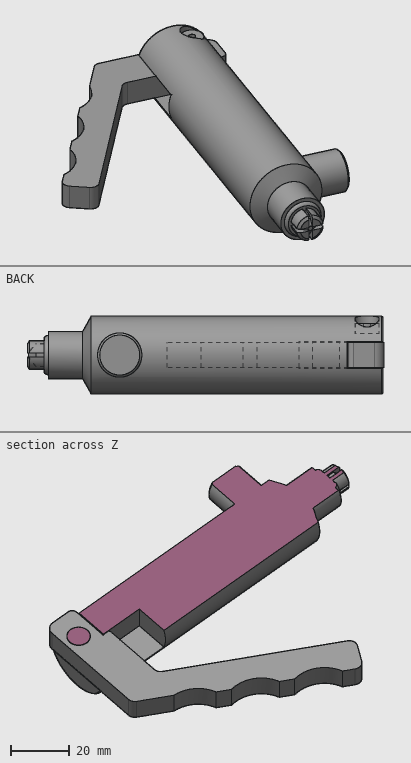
import cadquery as cq
import math

overall_length = 123.0

body_diameter = 26.9
body_radius = body_diameter / 2
body_start = 0.4
rim_chamfer = 0.5
shoulder_start = 101.0
shoulder_end = 103.9

neck_diameter = 16.4
neck_end = 115.7
collar_diameter = 13.6
collar_end = 117.2
collar_rounding_depth = 0.9

tip_diameter = 10.0
tip_chamfer_length = 0.7
tip_chamfer_depth = 1.1
groove_count = 4
groove_width = 1.4
groove_floor_radius = 3.9
groove_taper_start = 120.0
groove_floor_end = 122.6
groove_taper_angle = 50.0

port_diameter = 15.2
port_center_x = 91.1
port_end_y = 25.0
port_chamfer = 0.7

lever_thickness = 8.7
lever_slot_width = 9.2
slot_length = 29.4
slot_rear_length = 12.8
lever_head_width = 12.5
lever_head_top = 15.6
head_outer_fillet = 3.3
head_inner_fillet = 2.0
lever_shank_width = 15.5

handle_angle = 30.0
handle_inner_corner_y = -24.8
handle_outer_corner_y = -28.8
grip_line_y = -30.6
handle_end_x = 69.6
lever_fillet = 3.0

scallop_count = 3
scallop_first_mid_x = 17.3
scallop_pitch = 22.3
scallop_chord = 16.8
scallop_depth = 3.1

pin_center_x = 5.9
pin_center_y = 5.2
pin_diameter = 8.1
pin_hole_diameter = 8.4
pin_hole_floor_z = 7.4
pin_top_z = 11.0
pin_dimple_diameter = 2.5
pin_dimple_depth = 1.2


def revolve_about_x(profile):
    """Full turn of a closed half-profile around the body axis."""
    return profile.revolve(360, (0, 0, 0), (1, 0, 0))


def make_body():
    """Stepped round body with a chamfered rear rim, a cone shoulder, a rounded collar and a tip."""
    neck_radius = neck_diameter / 2
    collar_radius = collar_diameter / 2
    tip_radius = tip_diameter / 2
    rear_profile = [
        (body_start, 0),
        (body_start, body_radius - rim_chamfer),
        (body_start + rim_chamfer, body_radius),
        (shoulder_start, body_radius),
        (shoulder_end, neck_radius),
        (neck_end, neck_radius),
        (neck_end, collar_radius),
    ]
    tip_profile = [
        (collar_end, tip_radius),
        (overall_length - tip_chamfer_length, tip_radius),
        (overall_length, tip_radius - tip_chamfer_depth),
        (overall_length, 0),
    ]
    profile = cq.Workplane("XY").polyline(rear_profile)
    collar_length = collar_end - neck_end
    rounding_radius = (collar_length**2 + collar_rounding_depth**2) / (2 * collar_rounding_depth)
    profile = profile.radiusArc((collar_end, collar_radius - collar_rounding_depth), rounding_radius)
    for point in tip_profile:
        profile = profile.lineTo(*point)
    return revolve_about_x(profile.close())


def make_tip_grooves():
    """Lengthwise grooves around the tip; their round floor tapers and stops short of the free end."""
    taper_drop = (groove_floor_end - groove_taper_start) * math.tan(math.radians(groove_taper_angle))
    length = overall_length - collar_end
    core_profile = [
        (collar_end, 0),
        (collar_end, groove_floor_radius),
        (groove_taper_start, groove_floor_radius),
        (groove_floor_end, groove_floor_radius - taper_drop),
        (groove_floor_end, 0),
    ]
    core = revolve_about_x(cq.Workplane("XY").polyline(core_profile).close())
    bar = cq.Workplane("XY", origin=(collar_end, 0, 0))
    bar = bar.box(length, groove_width, tip_diameter, centered=(False, True, False))
    groove = bar.cut(core)
    grooves = groove
    for index in range(1, groove_count):
        grooves = grooves.union(groove.rotate((0, 0, 0), (1, 0, 0), index * 360 / groove_count))
    return grooves


def make_port():
    """Round side stub pointing to +Y, with a chamfered end."""
    port = cq.Workplane("XZ").center(port_center_x, 0).circle(port_diameter / 2).extrude(-port_end_y)
    return port.faces(">Y").chamfer(port_chamfer)


def make_lever_slot():
    """Slot in the body for the lever: long on the handle side, short on the other side."""
    long_part = cq.Workplane("XY", origin=(0, -body_radius, 0))
    long_part = long_part.box(slot_length, body_radius, lever_slot_width, centered=(False, False, True))
    short_part = cq.Workplane("XY")
    short_part = short_part.box(slot_rear_length, body_diameter, lever_slot_width, centered=(False, True, True))
    return long_part.union(short_part)


def make_lever():
    """Flat lever: straight head through the body and a slanted handle with finger scallops."""
    angle = math.radians(handle_angle)
    slope = math.tan(angle)
    inward = (math.sin(angle), math.cos(angle))

    def grip_point(x):
        return (x, grip_line_y - x * slope)

    def shifted_inward(point, distance):
        return (point[0] + distance * inward[0], point[1] + distance * inward[1])

    handle_inner_line_y = handle_inner_corner_y + lever_shank_width * slope
    handle_depth = (handle_inner_line_y - grip_line_y) * math.cos(angle)
    root_step = (handle_outer_corner_y - grip_line_y) * math.cos(angle)

    head_outer_corner = (0, lever_head_top)
    head_inner_corner = (lever_head_width, lever_head_top)
    handle_inner_corner = (lever_shank_width, handle_inner_corner_y)
    handle_outer_corner = (0, handle_outer_corner_y)
    end_low = grip_point(handle_end_x)
    end_high = shifted_inward(end_low, handle_depth)
    first_scallop_mid = grip_point(scallop_first_mid_x)

    outline = [
        head_outer_corner,
        head_inner_corner,
        (lever_head_width, 0),
        (lever_shank_width, 0),
        handle_inner_corner,
        end_high,
        end_low,
        first_scallop_mid,
        shifted_inward(first_scallop_mid, root_step),
        handle_outer_corner,
    ]
    lever = cq.Workplane("XY").polyline(outline).close().extrude(lever_thickness / 2, both=True)

    corner_fillets = [
        (head_outer_corner, head_outer_fillet),
        (head_inner_corner, head_inner_fillet),
        (handle_inner_corner, lever_fillet),
        (end_high, lever_fillet),
        (end_low, lever_fillet),
        (handle_outer_corner, lever_fillet),
    ]
    for (x, y), radius in corner_fillets:
        lever = lever.edges("|Z").edges(cq.NearestToPointSelector((x, y, 0))).fillet(radius)

    scallop_radius = ((scallop_chord / 2) ** 2 + scallop_depth**2) / (2 * scallop_depth)
    for index in range(scallop_count):
        mid = grip_point(scallop_first_mid_x + index * scallop_pitch * math.cos(angle))
        center = shifted_inward(mid, scallop_depth - scallop_radius)
        scallop = cq.Workplane("XY").center(*center).circle(scallop_radius)
        lever = lever.cut(scallop.extrude(lever_thickness, both=True))
    return lever


def make_pin_hole():
    """Blind hole from the top of the body for the pivot pin."""
    top = cq.Workplane("XY", origin=(pin_center_x, pin_center_y, body_radius))
    return top.circle(pin_hole_diameter / 2).extrude(pin_hole_floor_z - body_radius)


def make_pin():
    """Pivot pin whose flat head, with a center dimple, ends below the crown of the body."""
    pin = cq.Workplane("XY", origin=(pin_center_x, pin_center_y, 0))
    pin = pin.circle(pin_diameter / 2).extrude(pin_top_z)
    return pin.faces(">Z").workplane().hole(pin_dimple_diameter, pin_dimple_depth)


body = make_body().cut(make_tip_grooves()).union(make_port())
body = body.cut(make_lever_slot()).cut(make_pin_hole())
result = body.union(make_lever()).union(make_pin())